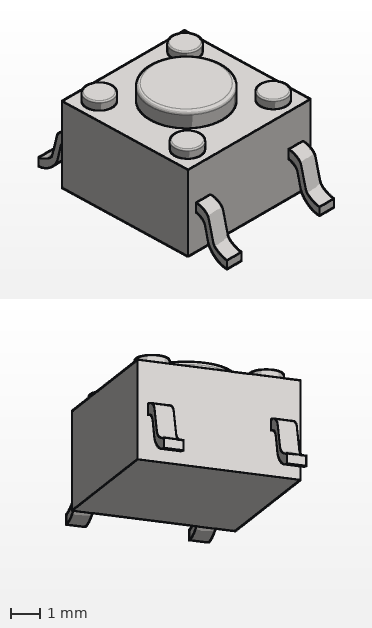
import cadquery as cq


total_length = 9.02
total_height = 4.3
body_side = 6.03
body_height = 3.6

button_diameter = 3.46
button_edge_radius = 0.15

peg_diameter = 1.22
peg_height = 0.38
peg_edge_radius = 0.06
peg_spacing = 4.22

leg_width = 0.71
leg_spacing = 4.55
leg_reach = (total_length - body_side) / 2

upper_edge = [
    (leg_reach, 0.37),
    (1.14, 0.485),
    (0.825, 0.825),
    (0.615, 1.685),
    (0.32, 1.98),
    (0.0, 2.045),
]
lower_edge = [
    (0.0, 1.655),
    (0.23, 1.57),
    (0.44, 1.32),
    (0.59, 0.68),
    (0.97, 0.185),
    (leg_reach, 0.0),
]

shin_rise = (-0.21, 0.86)
shin_fall = (0.21, -0.86)
upper_tangents = [None, None, shin_rise, shin_rise, None, None]
lower_tangents = [None, None, shin_fall, shin_fall, None, None]


def make_body():
    return cq.Workplane("XY").box(body_side, body_side, body_height, centered=(True, True, False))


def make_rounded_disc(diameter, height, edge_radius):
    """Disc standing on the housing top, with its upper rim rounded."""
    disc = cq.Workplane("XY").workplane(offset=body_height).circle(diameter / 2).extrude(height)
    return disc.faces(">Z").edges().fillet(edge_radius)


def make_leg():
    """S-shaped leg on the +X wall, centred on Y = 0."""
    profile = (
        cq.Workplane("XZ", origin=(body_side / 2, leg_width / 2, 0))
        .moveTo(*upper_edge[0])
        .spline(upper_edge[1:], tangents=upper_tangents, includeCurrent=True)
        .lineTo(*lower_edge[0])
        .spline(lower_edge[1:], tangents=lower_tangents, includeCurrent=True)
        .close()
    )
    return profile.extrude(leg_width)


result = make_body()
result = result.union(make_rounded_disc(button_diameter, total_height - body_height, button_edge_radius))

peg = make_rounded_disc(peg_diameter, peg_height, peg_edge_radius)
right_leg = make_leg()
left_leg = right_leg.mirror("YZ")

for y_side in (-1, 1):
    for x_side, leg in ((-1, left_leg), (1, right_leg)):
        result = result.union(peg.translate((x_side * peg_spacing / 2, y_side * peg_spacing / 2, 0)))
        result = result.union(leg.translate((0, y_side * leg_spacing / 2, 0)))